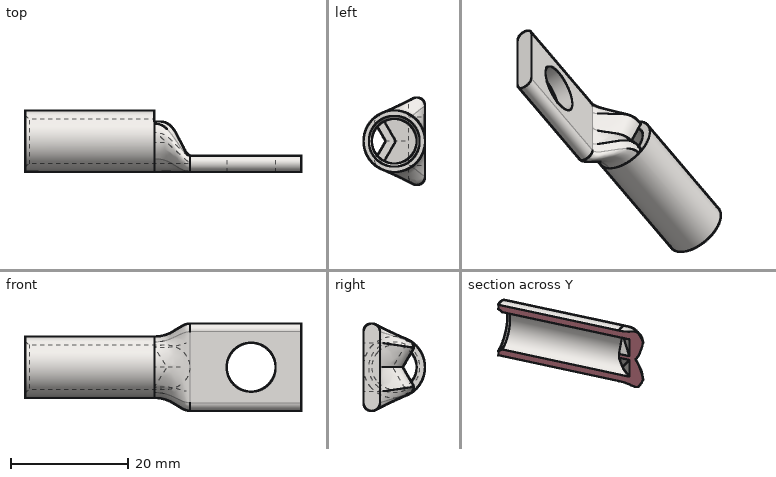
import cadquery as cq
import math


BARREL_RADIUS = 10.541 / 2
BORE_RADIUS = 7.62 / 2
BARREL_LENGTH = 22.1
MOUTH_RADIUS = 4.35
MOUTH_CHAMFER_LENGTH = 0.75

TOTAL_LENGTH = 47.24
PAD_LENGTH = 19.05
PAD_START = TOTAL_LENGTH - PAD_LENGTH
PAD_WIDTH = 14.986
PAD_THICKNESS = 2.82
PAD_FACE_Y = -BARREL_RADIUS
HOLE_DIAMETER = 8.33
HOLE_FROM_END = 8.6

PAD_EDGE_RADIUS = PAD_THICKNESS / 2
PAD_MIDDLE_Y = PAD_FACE_Y + PAD_EDGE_RADIUS
PAD_BACK_Y = PAD_FACE_Y + PAD_THICKNESS
PAD_FLAT_HALF = PAD_WIDTH / 2 - PAD_EDGE_RADIUS

FOLD_BOTTOM_Y = 1.48
FOLD_ANGLE = 30
FOLD_WALL = 1.5
ROOF_START_Y = 1.7
SHOULDER_Y = 3.0
RIDGE_Y = 3.41
PAD_RIDGE_Z = 4.2
NECK_SECTIONS = 9
SIDE_POINTS = 5
NECK_EASE = 1.3
RIDGE_EASE = 1.9

FOLD_SLOPE = math.tan(math.radians(FOLD_ANGLE))
CAVITY_FOLD_Y = FOLD_BOTTOM_Y - FOLD_WALL / math.cos(math.radians(FOLD_ANGLE))


def on_circle(radius, y):
    """Point (y, z) on the upper half of a circle about the barrel axis."""
    return (y, math.sqrt(radius**2 - y**2))


def blend(start, end, travel, ease=NECK_EASE):
    """Move a (y, z) point along an S-curve that is level at both ends."""
    eased = travel**ease
    share = 3 * eased**2 - 2 * eased**3
    return tuple(a + (b - a) * share for a, b in zip(start, end))


def mirrored(point):
    """The (y, z) point reflected across the mid-plane z = 0."""
    return (point[0], -point[1])


def section_wire(x, front, lower, side, upper, ridge, fold):
    """Closed YZ section, symmetric in Z.

    A front curve joins the two lower corners, side curves rise to the upper
    corners, and straight runs over the ridges drop to the fold in the middle.
    """
    def place(points):
        return [cq.Vector(x, y, z) for y, z in points]

    front_middle, front_quarter = front
    front_points = [mirrored(lower), mirrored(front_quarter), front_middle, front_quarter, lower]
    side_points = [lower] + side + [upper]
    far_side_points = [mirrored(p) for p in reversed(side_points)]
    back_points = [upper, ridge, fold, mirrored(ridge), mirrored(upper)]

    back = place(back_points)
    return cq.Wire.assembleEdges([
        cq.Edge.makeSpline(place(front_points)),
        cq.Edge.makeSpline(place(side_points)),
        *[cq.Edge.makeLine(a, b) for a, b in zip(back, back[1:])],
        cq.Edge.makeSpline(place(far_side_points)),
    ])


def arc_points(radius, first_y, last_y, count):
    """(y, z) points spaced by angle strictly between two heights on a circle."""
    first = math.acos(first_y / radius)
    last = math.acos(last_y / radius)
    angles = [first + (last - first) * i / (count + 1) for i in range(1, count + 1)]
    return [(radius * math.cos(a), radius * math.sin(a)) for a in angles]


def pad_edge_points(count):
    """(y, z) points around the rounded edge of the pad, from face to back."""
    arc = arc_points(PAD_EDGE_RADIUS, -PAD_EDGE_RADIUS, PAD_EDGE_RADIUS, count)
    return [(PAD_MIDDLE_Y + y, PAD_FLAT_HALF + z) for y, z in arc]


def make_neck():
    """Loft from the folded round section at the barrel to the flat pad section."""
    lower = on_circle(BARREL_RADIUS, -SHOULDER_Y)
    upper = on_circle(BARREL_RADIUS, SHOULDER_Y)
    front = [(-BARREL_RADIUS, 0)] + arc_points(BARREL_RADIUS, -BARREL_RADIUS, -SHOULDER_Y, 1)
    side = arc_points(BARREL_RADIUS, -SHOULDER_Y, SHOULDER_Y, SIDE_POINTS)
    ridge = (RIDGE_Y, (RIDGE_Y - FOLD_BOTTOM_Y) / FOLD_SLOPE)
    fold = (FOLD_BOTTOM_Y, 0)

    pad_lower = (PAD_FACE_Y, PAD_FLAT_HALF)
    pad_upper = (PAD_BACK_Y, PAD_FLAT_HALF)
    pad_front = [(PAD_FACE_Y, 0), (PAD_FACE_Y, PAD_FLAT_HALF / 2)]
    pad_side = pad_edge_points(SIDE_POINTS)
    pad_ridge = (PAD_BACK_Y, PAD_RIDGE_Z)
    pad_fold = (PAD_BACK_Y, 0)

    wires = []
    for i in range(NECK_SECTIONS):
        travel = i / (NECK_SECTIONS - 1)
        wires.append(section_wire(
            BARREL_LENGTH + (PAD_START - BARREL_LENGTH) * travel,
            front=[blend(a, b, travel) for a, b in zip(front, pad_front)],
            lower=blend(lower, pad_lower, travel),
            side=[blend(a, b, travel) for a, b in zip(side, pad_side)],
            upper=blend(upper, pad_upper, travel),
            ridge=blend(ridge, pad_ridge, travel, RIDGE_EASE),
            fold=blend(fold, pad_fold, travel),
        ))
    return cq.Workplane(cq.Solid.makeLoft(wires))


def make_neck_cavity():
    """Bore continued in front of the fold wall and closed by a sloping roof."""
    length = PAD_START - BARREL_LENGTH
    edge_y = CAVITY_FOLD_Y + FOLD_SLOPE * BARREL_RADIUS
    front_of_fold = (
        cq.Workplane("YZ", origin=(BARREL_LENGTH, 0, 0))
        .polyline([
            (-BARREL_RADIUS, -BARREL_RADIUS),
            (edge_y, -BARREL_RADIUS),
            (CAVITY_FOLD_Y, 0),
            (edge_y, BARREL_RADIUS),
            (-BARREL_RADIUS, BARREL_RADIUS),
        ])
        .close()
        .extrude(length)
    )
    under_roof = (
        cq.Workplane("XY")
        .polyline([(BARREL_LENGTH, -BORE_RADIUS), (BARREL_LENGTH, ROOF_START_Y), (PAD_START, -BORE_RADIUS)])
        .close()
        .extrude(BORE_RADIUS, both=True)
    )
    bore = cq.Workplane("YZ", origin=(BARREL_LENGTH, 0, 0)).circle(BORE_RADIUS).extrude(length)
    return bore.intersect(front_of_fold).intersect(under_roof)


def make_barrel():
    """Tube with a countersunk mouth, revolved about the X axis."""
    profile = [
        (0, MOUTH_RADIUS), (0, BARREL_RADIUS), (BARREL_LENGTH, BARREL_RADIUS),
        (BARREL_LENGTH, BORE_RADIUS), (MOUTH_CHAMFER_LENGTH, BORE_RADIUS),
    ]
    return cq.Workplane("XY").polyline(profile).close().revolve(360, (0, 0, 0), (1, 0, 0))


def make_pad():
    """Flat bar with fully rounded long edges and a stud hole through it."""
    bar = (
        cq.Workplane("YZ", origin=(PAD_START, PAD_MIDDLE_Y, 0))
        .slot2D(PAD_WIDTH, PAD_THICKNESS, 90)
        .extrude(PAD_LENGTH)
    )
    hole = (
        cq.Workplane("XZ", origin=(TOTAL_LENGTH - HOLE_FROM_END, PAD_BACK_Y, 0))
        .circle(HOLE_DIAMETER / 2)
        .extrude(PAD_THICKNESS)
    )
    return bar.cut(hole)


neck = make_neck().cut(make_neck_cavity())
lug = make_barrel().union(neck).union(make_pad())
result = cq.Workplane(lug.solids().val())